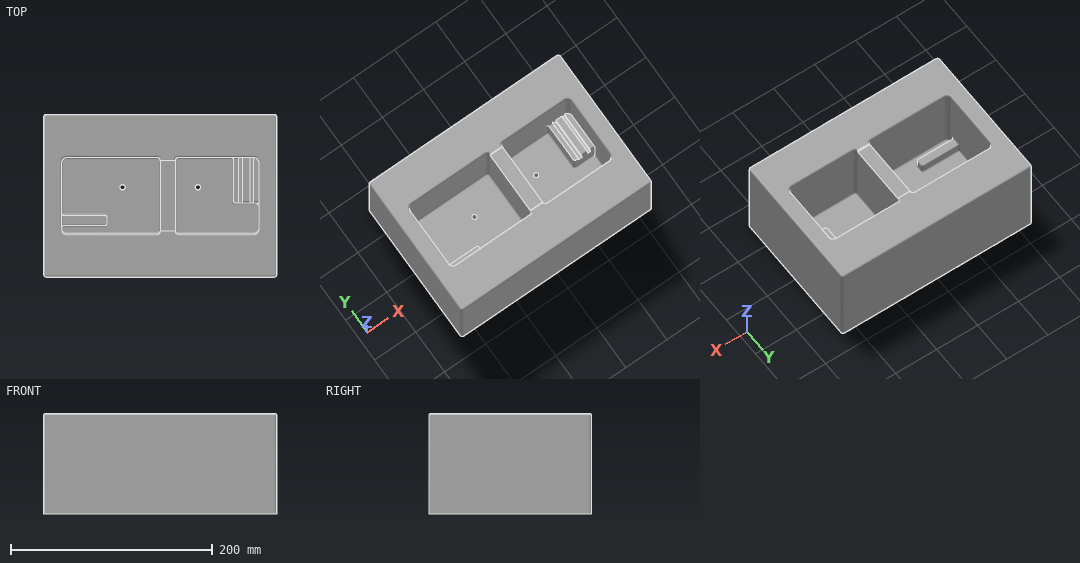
import cadquery as cq

LENGTH = 232.0
WIDTH = 162.0
HEIGHT = 100.0
BLOCK_CORNER = 3.0
BLOCK_TOP_ROUND = 2.0

WALL_X = 98.0
WALL_Y = 38.0
WEB_LEFT = 0.0
WEB_RIGHT = 15.0
FLOOR_Z = 22.5
OUTER_CORNER = 5.0
INNER_CORNER = 3.0
RIM_ROUND = 2.0
INSIDE_ROUND = 2.0

WEB_HALF_LENGTH = WALL_Y - INNER_CORNER
WEB_DROP = 2.0

HOLE_DIAMETER = 5.0
HOLE_X = 37.5
HOLE_Y = 8.5

RIB_END_X = -53.0
RIB_WIDTH = 10.0
RIB_FRONT_Y = -29.5
RIB_HEIGHT = 10.0
RIB_CORNER = 2.0
RIB_TOP_ROUND = 1.0

RIDGE_TOP_Z = 47.5
RIDGE_FRONT_Y = -7.0
FIRST_RIDGE_X = (73.0, 78.0)
NEXT_RIDGES_X = ((82.0, 89.5), (92.5, WALL_X))
GROOVE_DEPTH = 5.0
RIDGE_CORNER = 2.0
RIDGE_FRONT_ROUND = 2.0

OVERLAP = 6.0
MARGIN = 0.1

POCKET_Y = (-WALL_Y, WALL_Y)
LEFT_X = (-WALL_X, WEB_LEFT)
RIGHT_X = (WEB_RIGHT, WALL_X)


def box(x_range, y_range, z_range):
    """Axis-aligned box filling the three ranges."""
    low, high = zip(x_range, y_range, z_range)
    sizes = [end - start for start, end in zip(low, high)]
    return cq.Workplane("XY").box(*sizes, centered=False).translate(low)


def edges_between(body, x_range, y_range, z_range):
    """Edges whose centres lie inside the three ranges, widened a little."""
    low, high = zip(x_range, y_range, z_range)
    low = tuple(start - MARGIN for start in low)
    high = tuple(end + MARGIN for end in high)
    return body.edges(cq.selectors.BoxSelector(low, high))


def plain_pocket(x_range, outer_side, inner_side):
    """The empty space of one pocket without anything standing in it."""
    space = box(x_range, POCKET_Y, (FLOOR_Z, HEIGHT))
    space = space.edges(f"|Z and {outer_side}").fillet(OUTER_CORNER)
    return space.edges(f"|Z and {inner_side}").fillet(INNER_CORNER)


def round_inside(space, x_range, seam_ranges):
    """Round the floor edges of a pocket and the seam where a raised body meets its wall."""
    floor_edges = edges_between(space, x_range, POCKET_Y, (FLOOR_Z, FLOOR_Z))
    seam = edges_between(space, *seam_ranges)
    return floor_edges.add(seam).fillet(INSIDE_ROUND)


def left_space():
    """Left pocket around its rib."""
    rib_y = (RIB_FRONT_Y, RIB_FRONT_Y + RIB_WIDTH)
    rib_top_z = FLOOR_Z + RIB_HEIGHT
    rib = box((-WALL_X - OVERLAP, RIB_END_X), rib_y, (FLOOR_Z, rib_top_z))
    rib = rib.edges("|Z and >X").fillet(RIB_CORNER)

    space = plain_pocket(LEFT_X, "<X", ">X").cut(rib)
    above_floor = (FLOOR_Z + INSIDE_ROUND, rib_top_z)
    space = round_inside(space, LEFT_X, ((-WALL_X, -WALL_X), rib_y, above_floor))

    rib_x = (-WALL_X + INSIDE_ROUND, RIB_END_X)
    return edges_between(space, rib_x, rib_y, (rib_top_z, rib_top_z)).fillet(RIB_TOP_ROUND)


def right_space():
    """Right pocket around its ridged block."""
    first_x, first_end_x = FIRST_RIDGE_X
    groove_z = RIDGE_TOP_Z - GROOVE_DEPTH
    plain = plain_pocket(RIGHT_X, ">X", "<X")

    step_y = (RIDGE_FRONT_Y, WALL_Y + OVERLAP)
    step = box((first_x, WALL_X + OVERLAP), step_y, (FLOOR_Z, RIDGE_TOP_Z))
    step = step.edges("|Z and <X and <Y").fillet(RIDGE_CORNER)
    above_floor = (FLOOR_Z + INSIDE_ROUND, RIDGE_TOP_Z)
    back_seam = ((first_x, WALL_X), (WALL_Y, WALL_Y), above_floor)
    space = round_inside(plain.cut(step), RIGHT_X, back_seam)

    ridge_y = (RIDGE_FRONT_Y, WALL_Y)
    lowered = box((first_end_x, WALL_X), ridge_y, (groove_z, HEIGHT))
    space = space.union(lowered.intersect(plain))
    for ridge_x in NEXT_RIDGES_X:
        ridge = box(ridge_x, ridge_y, (groove_z, RIDGE_TOP_Z))
        space = space.cut(ridge.edges("<Y and >Z").fillet(RIDGE_FRONT_ROUND))
    return space


def outer_block():
    """Block with rounded upright corners and a rounded top edge."""
    block = box((-LENGTH / 2, LENGTH / 2), (-WIDTH / 2, WIDTH / 2), (0, HEIGHT))
    block = block.edges("|Z").fillet(BLOCK_CORNER)
    return block.faces(">Z").edges().fillet(BLOCK_TOP_ROUND)


def web_recess():
    """Space above the sunk web, reaching a little into both pockets."""
    recess_x = (WEB_LEFT - INNER_CORNER, WEB_RIGHT + INNER_CORNER)
    recess_y = (-WEB_HALF_LENGTH, WEB_HALF_LENGTH)
    return box(recess_x, recess_y, (HEIGHT - WEB_DROP, HEIGHT))


def floor_holes():
    """Two holes running down from the pockets through the bottom."""
    centres = [(-HOLE_X, HOLE_Y), (HOLE_X, HOLE_Y)]
    return cq.Workplane("XY").pushPoints(centres).circle(HOLE_DIAMETER / 2).extrude(HEIGHT)


pocketed = outer_block().cut(left_space()).cut(right_space())
rim = edges_between(pocketed, (-WALL_X, WALL_X), POCKET_Y, (HEIGHT, HEIGHT))
result = rim.fillet(RIM_ROUND).cut(web_recess()).cut(floor_holes())